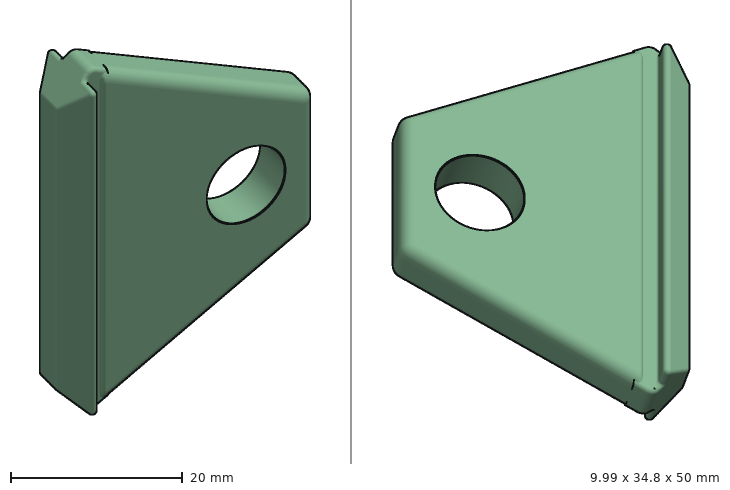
import cadquery as cq
import math

height = 50.0
depth = 34.8

foot_depth = 3.9
foot_face_width = 3.75
foot_face_height = 41.4
foot_round = 0.55

neck_width = 4.75
neck_root_round = 0.3

plate_width = 5.7
plate_back_height = 19.5
plate_slope = math.radians(27.2)
plate_edge_round = 1.55
plate_front = 5.8
shoulder_round = 0.5
apex_round = 1.25

margin = 0.025

hole_diameter = 10.6
hole_centre_y = 25.35
hole_chamfer = 0.1


def make_tapered_slab(width):
    """Side outline with rounded ridges, extruded symmetrically about X = 0."""
    back_z = plate_back_height / 2
    face_z = foot_face_height / 2
    taper = math.tan(plate_slope)
    ridge_y = (back_z + depth * taper - face_z) / (1 + taper)
    ridge_z = face_z + ridge_y
    ridge_zone = cq.selectors.BoxSelector(
        (-width, ridge_y - apex_round, -height),
        (width, ridge_y + apex_round, height),
    )
    return (
        cq.Workplane("YZ")
        .polyline([
            (0, -face_z),
            (ridge_y, -ridge_z),
            (depth, -back_z),
            (depth, back_z),
            (ridge_y, ridge_z),
            (0, face_z),
        ])
        .close()
        .extrude(width / 2, both=True)
        .edges("|X")
        .edges(ridge_zone)
        .fillet(apex_round)
    )


def keep_between(solid, y_start, y_end):
    """Part of the solid lying between two Y positions."""
    length = y_end - y_start
    middle = (0, y_start + length / 2, 0)
    box = cq.Workplane("XY").box(2 * height, length, 2 * height)
    return solid.intersect(box.translate(middle))


def make_foot_and_neck():
    """Dovetail with its neck, cut to the side outline, one rounding along all outer edges."""
    face_half = foot_face_width / 2
    foot_half = face_half + foot_depth
    neck_half = neck_width / 2
    neck_end = plate_front + 2 * shoulder_round
    bar = (
        cq.Workplane("XY")
        .polyline([
            (-face_half, 0),
            (face_half, 0),
            (foot_half, foot_depth),
            (neck_half, foot_depth),
            (neck_half, neck_end),
            (-neck_half, neck_end),
            (-neck_half, foot_depth),
            (-foot_half, foot_depth),
        ])
        .close()
        .extrude(height, both=True)
    )
    bar = round_neck_root(bar, foot_depth)
    body = bar.intersect(make_tapered_slab(2 * foot_half))
    wing_start = neck_half + 2 * neck_root_round
    wings = [
        body.edges(cq.selectors.BoxSelector(
            (start, foot_depth - margin, -height),
            (end, foot_depth + margin, height),
        ))
        for start, end in [(-height, -wing_start), (wing_start, height)]
    ]
    end_rims = body.edges("not (|X or |Z)")
    narrow_face = body.faces("<Y").edges()
    rounded_edges = end_rims.vals() + narrow_face.vals() + wings[0].vals() + wings[1].vals()
    return body.newObject(rounded_edges).fillet(foot_round)


def make_plate():
    """Tapered plate with every outer edge of its slopes and back rounded alike."""
    plate = keep_between(make_tapered_slab(plate_width), plate_front, depth)
    rim = plate.faces("<X or >X").edges("not <Y")
    back_corners = plate.faces(">Y").edges("|X")
    plate = plate.newObject(rim.vals() + back_corners.vals()).fillet(plate_edge_round)
    return plate.faces("<Y").edges().fillet(shoulder_round)


def cut_hole(body):
    """Cross hole through the plate along X, slightly chamfered at both mouths."""
    radius = hole_diameter / 2
    hole = (
        cq.Workplane("YZ")
        .center(hole_centre_y, 0)
        .circle(radius)
        .extrude(plate_width / 2, both=True)
    )
    around_hole = cq.selectors.BoxSelector(
        (-plate_width, hole_centre_y - radius, -radius),
        (plate_width, hole_centre_y + radius, radius),
    )
    return body.cut(hole).edges("%CIRCLE").edges(around_hole).chamfer(hole_chamfer)


def round_neck_root(body, root_y):
    """Fillet the long inside edges where the neck sides meet the part at root_y."""
    half = neck_width / 2
    low_corner = (-half - margin, root_y - margin, -margin)
    high_corner = (half + margin, root_y + margin, margin)
    near_root = cq.selectors.BoxSelector(low_corner, high_corner)
    return body.edges("|Z").edges(near_root).fillet(neck_root_round)


result = make_foot_and_neck()
result = result.union(make_plate())
result = round_neck_root(result, plate_front)
result = cut_hole(result)